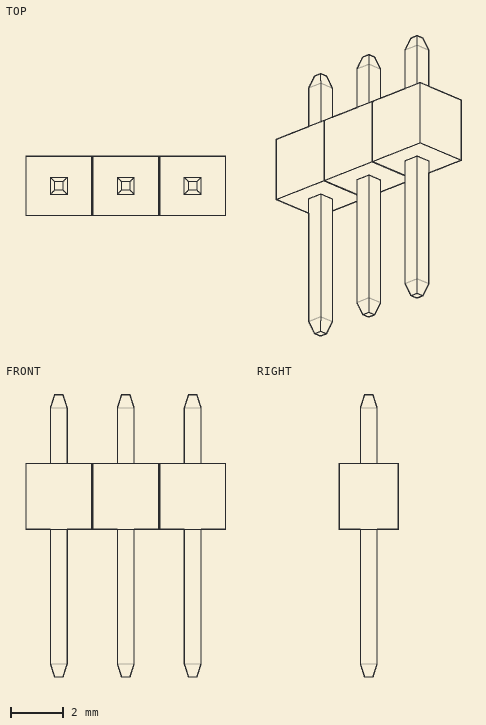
import cadquery as cq

module_count = 3
pitch = 2.54

block_width = 2.5
block_depth = 2.25
block_height = 2.5

pin_length = 10.7
pin_side = 0.64
tip_side = 0.32
tip_length = 0.5
pin_above_block = 2.6

pin_top = pin_length / 2
block_top = pin_top - pin_above_block
block_bottom = block_top - block_height
shank_end = pin_top - tip_length


def make_block():
    """Plain rectangular block of one module."""
    return (
        cq.Workplane("XY", origin=(0, 0, block_bottom))
        .rect(block_width, block_depth)
        .extrude(block_height)
    )


def make_tip():
    """Tapered square tip at the upper end of the pin."""
    return (
        cq.Workplane("XY", origin=(0, 0, shank_end))
        .rect(pin_side, pin_side)
        .workplane(offset=tip_length)
        .rect(tip_side, tip_side)
        .loft(ruled=True)
    )


def make_pin():
    """Square shank with the same tapered tip at both ends."""
    shank = cq.Workplane("XY").box(pin_side, pin_side, 2 * shank_end)
    upper_tip = make_tip()
    lower_tip = upper_tip.mirror("XY")
    return shank.union(upper_tip).union(lower_tip)


def make_module(x):
    """One block and its pin as a single solid, centred at the given X."""
    return make_block().union(make_pin()).translate((x, 0, 0))


first_x = -pitch * (module_count - 1) / 2
modules = [make_module(first_x + i * pitch) for i in range(module_count)]

result = cq.Compound.makeCompound([module.val() for module in modules])